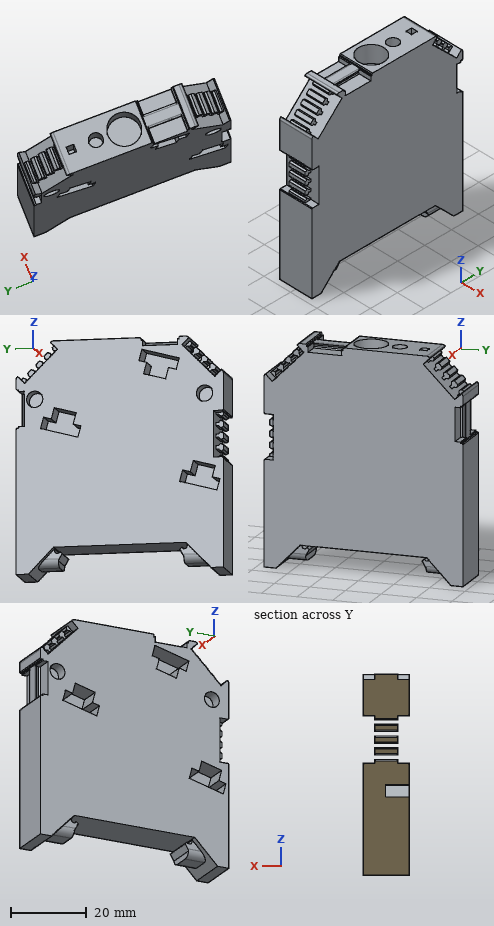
import cadquery as cq
WIDTH = 12.2
LENGTH = 56.0
HEIGHT = 62.5
HALF_LENGTH = LENGTH / 2

RAIL_HALF_TOP = 17.8
RAIL_HALF_BOTTOM = 24.6
RAIL_DEPTH = 7.0

BEVEL = 9.75
BEVEL_ROUND = 0.95
BEVEL_CENTRE_Y = HALF_LENGTH - BEVEL / 2
BEVEL_CENTRE_Z = HEIGHT - BEVEL / 2

FIN_RECESS_LENGTH = 12.5
FIN_RECESS_DEPTH = 2.6
FIN_RECESS_Z = 35.95
FIN_COUNT = 5
FIN_PITCH = FIN_RECESS_LENGTH / (FIN_COUNT - 1)
FIN_WIDTH = WIDTH / 2
FIN_HALF_STEM = 0.45
FIN_HALF_HEAD = 1.0
FIN_HALF_TIP = 0.7
FIN_STEM_HEIGHT = 0.7
FIN_HEAD_BOTTOM = 1.25
FIN_HEAD_TOP = 1.5
FIN_HEIGHT = 2.1
FIN_ROOT = 0.3
EDGE_BREAK = 0.25

SEAT_LENGTH = 10.25
SEAT_DEPTH = 0.7
BAY_LENGTH = 9.45
BAY_DEPTH = 1.5
RIB_HALF_TOP = 1.45
RIB_HALF_HEAD = 1.95
RIB_HALF_WEB = 1.5
RIB_HALF_FOOT = 1.75
RIB_HEAD_DEPTH = 0.1
RIB_WEB_TOP = 0.7
RIB_WEB_BOTTOM = 1.1
TOP_SEAT_Y = -10.9
BACK_SEAT_Z = 44.5

BUTTON_RADIUS = 4.6
LAMP_RADIUS = 2.0
LAMP_Y = 8.05
SQUARE_SIDE = 2.1
SQUARE_Y = 15.0
TOP_HOLE_DEPTH = 6.25

SIDE_HOLE_RADIUS = 2.2
SIDE_HOLE_Y = 22.95
SIDE_HOLE_Z = 46.95
SIDE_HOLE_DEPTH = 3.75
T_BASE_LENGTH = 10.45
T_STEM_LENGTH = 6.1
T_BAR_HEIGHT = 3.1
T_TILT = 15.0
T_DEPTH = 6.25
T_POCKETS = [
    (16.3, 37.7, T_TILT),
    (-21.25, 22.1, T_TILT),
    (-11.05, 58.0, T_TILT + 180),
]

CLIP_WIDTH = 8.75
CLIP_BOTTOM = 2.0
CLIP_END = 16.95
CLIP_END_HEIGHT = 1.6
CLIP_TIP = 15.9
CLIP_TIP_HEIGHT = 3.5
CLIP_NOSE_LENGTH = 0.6
CLIP_NOSE_HEIGHT = 4.05
CLIP_NOTCH_MIDDLE = (17.3, 5.6)
CLIP_NOTCH_DROP = 0.3
CLIP_ROOT = 24.4
CLIP_ROUND = 2.1


def block(x_size, points):
    """Extrude a closed YZ outline symmetrically about X = 0."""
    return cq.Workplane("YZ").polyline(points).close().extrude(x_size / 2, both=True)


def housing():
    body = block(WIDTH, [
        (-HALF_LENGTH, 0),
        (-RAIL_HALF_BOTTOM, 0),
        (-RAIL_HALF_TOP, RAIL_DEPTH),
        (RAIL_HALF_TOP, RAIL_DEPTH),
        (RAIL_HALF_BOTTOM, 0),
        (HALF_LENGTH, 0),
        (HALF_LENGTH, HEIGHT - BEVEL),
        (HALF_LENGTH - BEVEL, HEIGHT),
        (-HALF_LENGTH + BEVEL, HEIGHT),
        (-HALF_LENGTH, HEIGHT - BEVEL),
    ])
    upper_corners = cq.selectors.BoxSelector(
        (-WIDTH, -LENGTH, HEIGHT - 2 * BEVEL),
        (WIDTH, LENGTH, HEIGHT + BEVEL),
    )
    return body.edges("|X").edges(upper_corners).fillet(BEVEL_ROUND)


def place(shape, tilt, y, z):
    """Turn a shape about the X axis, then move its origin to (y, z)."""
    return shape.rotate((0, 0, 0), (1, 0, 0), tilt).translate((0, y, z))


def step_cutter(length, depth, edge_break):
    """Cutter across the width, open at Z = 0, with optional broken rims."""
    half = length / 2
    cutter = block(WIDTH, [(-half, -depth), (half, -depth), (half, 0), (-half, 0)])
    if edge_break > 0:
        rim = half + edge_break
        cutter = cutter.union(block(WIDTH, [
            (-rim, 0),
            (rim, 0),
            (half, -edge_break),
            (-half, -edge_break),
        ]))
    return cutter


def fin(y):
    """Fin rooted in the recess floor: a narrow stem under a faceted head."""
    side = [
        (FIN_HALF_STEM, -FIN_ROOT),
        (FIN_HALF_STEM, FIN_STEM_HEIGHT),
        (FIN_HALF_HEAD, FIN_HEAD_BOTTOM),
        (FIN_HALF_HEAD, FIN_HEAD_TOP),
        (FIN_HALF_TIP, FIN_HEIGHT),
    ]
    other_side = [(-half, height) for half, height in reversed(side)]
    return block(FIN_WIDTH, side + other_side).translate((0, y, -FIN_RECESS_DEPTH))


def add_fin_recess(body, tilt, y, z, edge_break=0):
    """Cut a recess and stand the fins in it; the end fins are half sunk in its walls."""
    cutter = step_cutter(FIN_RECESS_LENGTH, FIN_RECESS_DEPTH, edge_break)
    body = body.cut(place(cutter, tilt, y, z))
    for index in range(FIN_COUNT):
        offset = index * FIN_PITCH - FIN_RECESS_LENGTH / 2
        body = body.union(place(fin(offset), tilt, y, z))
    return body


def label_seat():
    """Cutter for one label seat, opening upward at Z = 0."""
    bay_floor = -SEAT_DEPTH - BAY_DEPTH
    seat = step_cutter(SEAT_LENGTH, SEAT_DEPTH, EDGE_BREAK)
    bay = (cq.Workplane("XZ")
           .moveTo(RIB_HALF_TOP, -SEAT_DEPTH)
           .lineTo(RIB_HALF_HEAD, -SEAT_DEPTH - RIB_HEAD_DEPTH)
           .lineTo(RIB_HALF_WEB, -SEAT_DEPTH - RIB_WEB_TOP)
           .lineTo(RIB_HALF_WEB, -SEAT_DEPTH - RIB_WEB_BOTTOM)
           .lineTo(RIB_HALF_FOOT, bay_floor)
           .lineTo(WIDTH / 2, bay_floor)
           .lineTo(WIDTH / 2, -SEAT_DEPTH)
           .close().extrude(BAY_LENGTH / 2, both=True))
    return seat.union(bay).union(bay.mirror("YZ"))


def top_holes():
    floor = cq.Workplane("XY").workplane(offset=HEIGHT - TOP_HOLE_DEPTH)
    button = floor.circle(BUTTON_RADIUS).extrude(TOP_HOLE_DEPTH)
    lamp = floor.center(0, LAMP_Y).circle(LAMP_RADIUS).extrude(TOP_HOLE_DEPTH)
    square = floor.center(0, SQUARE_Y).rect(SQUARE_SIDE, SQUARE_SIDE).extrude(TOP_HOLE_DEPTH)
    return button.union(lamp).union(square)


def side_holes():
    return (cq.Workplane("YZ").workplane(offset=-WIDTH / 2)
            .pushPoints([(SIDE_HOLE_Y, SIDE_HOLE_Z), (-SIDE_HOLE_Y, SIDE_HOLE_Z)])
            .circle(SIDE_HOLE_RADIUS).extrude(SIDE_HOLE_DEPTH))


def t_pocket(y, z, tilt):
    """T-shaped pocket whose wide edge is centred on (y, z)."""
    bar = T_BASE_LENGTH / 2
    stem = T_STEM_LENGTH / 2
    outline = [
        (-bar, 0),
        (bar, 0),
        (bar, T_BAR_HEIGHT),
        (stem, T_BAR_HEIGHT),
        (stem, 2 * T_BAR_HEIGHT),
        (-stem, 2 * T_BAR_HEIGHT),
        (-stem, T_BAR_HEIGHT),
        (-bar, T_BAR_HEIGHT),
    ]
    pocket = cq.Workplane("YZ").polyline(outline).close().extrude(T_DEPTH)
    return place(pocket.translate((-WIDTH / 2, 0, 0)), tilt, y, z)


def rail_clip():
    """Clip on the +Y leg with its lower edges along Y rounded."""
    clip = (cq.Workplane("YZ")
            .moveTo(CLIP_ROOT, CLIP_BOTTOM)
            .lineTo(CLIP_END, CLIP_BOTTOM)
            .lineTo(CLIP_END, CLIP_BOTTOM + CLIP_END_HEIGHT)
            .lineTo(CLIP_TIP, CLIP_BOTTOM + CLIP_TIP_HEIGHT)
            .lineTo(CLIP_TIP + CLIP_NOSE_LENGTH, CLIP_BOTTOM + CLIP_NOSE_HEIGHT)
            .threePointArc(CLIP_NOTCH_MIDDLE, (RAIL_HALF_TOP, RAIL_DEPTH - CLIP_NOTCH_DROP))
            .lineTo(RAIL_HALF_TOP, RAIL_DEPTH)
            .lineTo(CLIP_ROOT, RAIL_DEPTH)
            .close().extrude(CLIP_WIDTH / 2, both=True))
    return clip.edges("|Y and <Z").fillet(CLIP_ROUND)


result = housing()
result = add_fin_recess(result, -45, BEVEL_CENTRE_Y, BEVEL_CENTRE_Z)
result = add_fin_recess(result, 45, -BEVEL_CENTRE_Y, BEVEL_CENTRE_Z)
result = add_fin_recess(result, 90, -HALF_LENGTH, FIN_RECESS_Z, EDGE_BREAK)
result = result.cut(place(label_seat(), 0, TOP_SEAT_Y, HEIGHT))
result = result.cut(place(label_seat(), -90, HALF_LENGTH, BACK_SEAT_Z))
result = result.cut(top_holes())
result = result.cut(side_holes())
for pocket_y, pocket_z, pocket_tilt in T_POCKETS:
    result = result.cut(t_pocket(pocket_y, pocket_z, pocket_tilt))
clip = rail_clip()
result = result.union(clip).union(clip.mirror("XZ"))